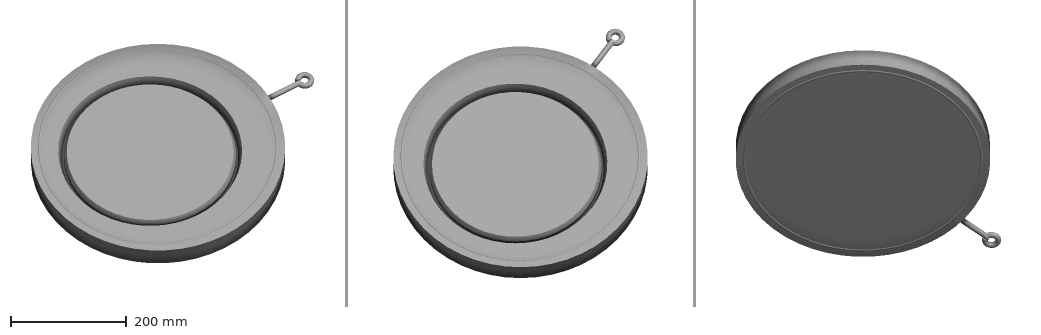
import cadquery as cq

body_diameter = 440
body_thickness = 38
top = body_thickness / 2

seal_protrusion = 0.89
seal_section_diameter = 6
seal_circle_radius = 205.5

recess_offset = -16
recess_top_diameter = 318
recess_floor_diameter = 305
recess_depth = body_thickness / 2

disc_diameter = 298
disc_face_diameter = 288.5
disc_face_depth = 3
disc_taper_height = 8

rod_diameter = 10
rod_embedment = 5
eye_section_diameter = 10
eye_outer_radius = 16.5
eye_ring_radius = eye_outer_radius - eye_section_diameter / 2
eye_tip = 314.23
eye_center = eye_tip - eye_outer_radius
eye_gap_half_angle = 22
rod_end_from_eye_center = 7.5


def make_body():
    return cq.Workplane("XY").circle(body_diameter / 2).extrude(body_thickness).translate((0, 0, -top))


def make_seal(side):
    """Seal ring standing slightly proud of the face on the given side (+1 top, -1 bottom)."""
    section_radius = seal_section_diameter / 2
    center_height = top + seal_protrusion - section_radius
    ring = cq.Solid.makeTorus(seal_circle_radius, section_radius)
    return cq.Workplane(ring).translate((0, 0, side * center_height))


def make_recess():
    """Tapered recess less the disc that stands on its floor."""
    floor = top - recess_depth
    disc_face = top - disc_face_depth
    profile = [
        (disc_diameter / 2, floor),
        (recess_floor_diameter / 2, floor),
        (recess_top_diameter / 2, top),
        (0, top),
        (0, disc_face),
        (disc_face_diameter / 2, disc_face),
        (disc_diameter / 2, disc_face - disc_taper_height),
    ]
    recess = cq.Workplane("XZ").polyline(profile).close().revolve(360, (0, 0), (0, 1))
    return recess.translate((0, recess_offset, 0))


def make_rod():
    rod_start = body_diameter / 2 - rod_embedment
    rod_length = eye_center - rod_end_from_eye_center - rod_start
    return cq.Workplane("XZ", origin=(0, rod_start, 0)).circle(rod_diameter / 2).extrude(-rod_length)


def make_eye_ring():
    """Round ring lying flat, open on the side that faces the rod."""
    sweep_angle = 360 - 2 * eye_gap_half_angle
    section = cq.Workplane("XZ").center(eye_ring_radius, 0).circle(eye_section_diameter / 2)
    ring = section.revolve(sweep_angle, (-eye_ring_radius, 0), (-eye_ring_radius, 1))
    turn_gap_to_rod = -90 + eye_gap_half_angle
    return ring.rotate((0, 0, 0), (0, 0, 1), turn_gap_to_rod).translate((0, eye_center, 0))


result = (
    make_body()
    .union(make_seal(1))
    .union(make_seal(-1))
    .cut(make_recess())
    .union(make_rod())
    .union(make_eye_ring())
)